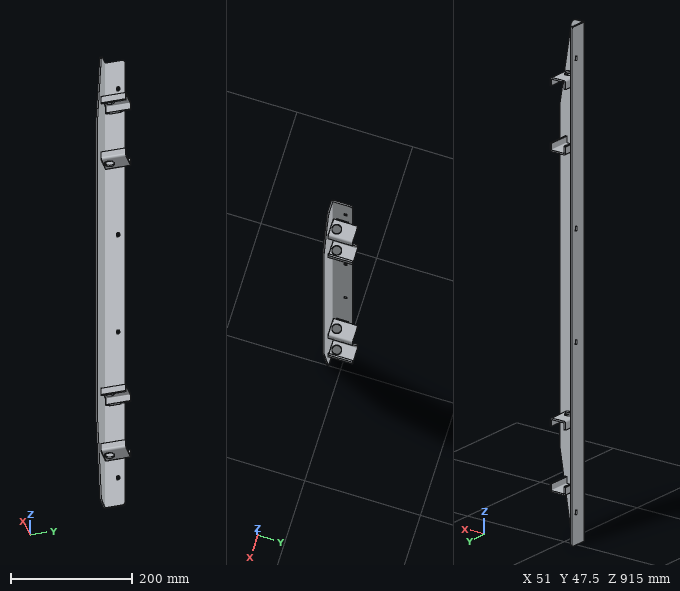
import cadquery as cq

LENGTH = 915.0
SHEET = 3.0
BEND_RADIUS = 4.0
WALL_WIDTH = 37.0
WALL_CORNER_RADIUS = 5.0

FLANGE_WIDTH = 51.0
FLANGE_END_WIDTH = 26.0
FLANGE_STRAIGHT_LENGTH = 600.0
FLANGE_CORNER_RADIUS = 10.0

SLOT_WIDTH = 5.0
SLOT_LENGTH = 8.0
SLOT_Y = 25.0
SLOT_HEIGHTS = (-400.0, -100.0, 100.0, 400.0)

BRACKET_LEFT = 5.0
BRACKET_WIDTH = 32.0
BRACKET_HEIGHT = 15.0
BRACKET_SHEET = 3.0
BRACKET_BEND_RADIUS = 4.0
BRACKET_Y_START = BRACKET_LEFT
BRACKET_Y_END = 47.5
BRACKET_HOLE_DIAMETER = 16.0
BRACKET_HOLE_Y = 15.5
PAIR_HEIGHTS = (-300.0, 300.0)
PAIR_SPAN = 131.0

PAD_WIDTH = 20.0
PAD_Y = 20.0


def make_angle():
    """L-section sheet with a rounded bend, running the whole length."""
    half_length = LENGTH / 2
    inner_radius = BEND_RADIUS - SHEET
    angle = (
        cq.Workplane("XY", origin=(0, 0, -half_length))
        .polyline([
            (0, 0),
            (FLANGE_WIDTH, 0),
            (FLANGE_WIDTH, SHEET),
            (SHEET, SHEET),
            (SHEET, WALL_WIDTH),
            (0, WALL_WIDTH),
        ])
        .close()
        .extrude(LENGTH)
    )
    angle = angle.edges(cq.selectors.NearestToPointSelector((0, 0, 0))).fillet(BEND_RADIUS)
    inner_bend = cq.selectors.NearestToPointSelector((SHEET, SHEET, 0))
    return angle.edges(inner_bend).fillet(inner_radius)


def make_flange_outline():
    """Solid with the tapered flange outline, used to trim the angle."""
    half_length = LENGTH / 2
    half_straight = FLANGE_STRAIGHT_LENGTH / 2
    blank = (
        cq.Workplane("XZ")
        .polyline([
            (0, -half_length),
            (FLANGE_END_WIDTH, -half_length),
            (FLANGE_WIDTH, -half_straight),
            (FLANGE_WIDTH, half_straight),
            (FLANGE_END_WIDTH, half_length),
            (0, half_length),
        ])
        .close()
        .extrude(-WALL_WIDTH)
    )
    for end in (-half_length, half_length):
        corner = cq.selectors.NearestToPointSelector((FLANGE_END_WIDTH, WALL_WIDTH / 2, end))
        blank = blank.edges(corner).fillet(FLANGE_CORNER_RADIUS)
    return blank


def round_wall_corners(body):
    """Round the two free corners of the wall."""
    for end in (-LENGTH / 2, LENGTH / 2):
        corner = cq.selectors.NearestToPointSelector((SHEET / 2, WALL_WIDTH, end))
        body = body.edges(corner).fillet(WALL_CORNER_RADIUS)
    return body


def make_slots():
    """Cutters for the slots through the wall."""
    return (
        cq.Workplane("YZ")
        .pushPoints([(SLOT_Y, height) for height in SLOT_HEIGHTS])
        .slot2D(SLOT_LENGTH, SLOT_WIDTH, 90)
        .extrude(SHEET)
    )


def make_bracket(web_height, direction):
    """Channel with a drilled web whose outer face is at web_height.

    The legs point up when direction is 1 and down when it is -1.
    """
    left = BRACKET_LEFT
    right = left + BRACKET_WIDTH
    leg_end = web_height + direction * BRACKET_HEIGHT
    depth = BRACKET_Y_END - BRACKET_Y_START
    center_x = (left + right) / 2
    bracket = (
        cq.Workplane("XZ", origin=(0, BRACKET_Y_START, 0))
        .polyline([(left, web_height), (right, web_height), (right, leg_end), (left, leg_end)])
        .close()
        .extrude(-depth)
    )
    web_side = "<Z" if direction > 0 else ">Z"
    bracket = bracket.faces(web_side).edges("|Y").fillet(BRACKET_BEND_RADIUS)
    inner_height = web_height + direction * BRACKET_SHEET
    hollow = (
        cq.Workplane("XZ", origin=(0, BRACKET_Y_START, 0))
        .polyline([
            (left + BRACKET_SHEET, inner_height),
            (right - BRACKET_SHEET, inner_height),
            (right - BRACKET_SHEET, leg_end),
            (left + BRACKET_SHEET, leg_end),
        ])
        .close()
        .extrude(-depth)
    )
    hollow = hollow.faces(web_side).edges("|Y").fillet(BRACKET_BEND_RADIUS - BRACKET_SHEET)
    hole = (
        cq.Workplane("XY", origin=(center_x, BRACKET_HOLE_Y, web_height))
        .circle(BRACKET_HOLE_DIAMETER / 2)
        .extrude(direction * BRACKET_HEIGHT)
    )
    return bracket.cut(hollow).cut(hole)


def make_pad(web_height, direction):
    """Block filling the gap between the wall and the flat part of a bracket leg."""
    flat_start = web_height + direction * BRACKET_BEND_RADIUS
    flat_end = web_height + direction * BRACKET_HEIGHT
    gap = BRACKET_LEFT - SHEET
    return (
        cq.Workplane("YZ", origin=(SHEET, PAD_Y, (flat_start + flat_end) / 2))
        .rect(PAD_WIDTH, abs(flat_end - flat_start))
        .extrude(gap)
    )


result = round_wall_corners(make_angle().intersect(make_flange_outline())).cut(make_slots())
for pair_height in PAIR_HEIGHTS:
    for direction in (-1, 1):
        web_height = pair_height - direction * PAIR_SPAN / 2
        result = result.union(make_pad(web_height, direction))
        result = result.union(make_bracket(web_height, direction))